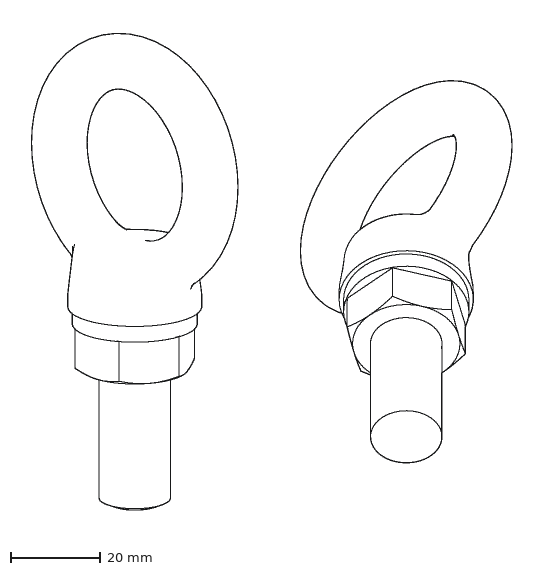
import cadquery as cq
import math


stud_diameter = 16.0
stud_projection = 32.5
stud_tip_height = 2.1

nut_across_flats = 24.0
nut_height = 10.4
nut_chamfer_angle = 30.0

collar_diameter = 28.0
collar_height = 4.0

flange_diameter = 30.0
flange_height = 3.0
boss_height = 12.6
boss_draft = 6.5
boss_edge_radius = 1.8
crown_drop = 1.5
ring_inner_diameter = 35.0
ring_outer_diameter = 60.0
ring_blend_radius = 5.0

collar_base = nut_height
eye_base = collar_base + collar_height
boss_base = eye_base + flange_height
boss_top = boss_base + boss_height

nut_corner_radius = nut_across_flats / math.sqrt(3)
wire_radius = (ring_outer_diameter - ring_inner_diameter) / 4
ring_mean_radius = (ring_outer_diameter + ring_inner_diameter) / 4
ring_center_height = boss_top + ring_inner_diameter / 2


def make_stud():
    """Round stud through the nut and collar, with a domed lower tip."""
    radius = stud_diameter / 2
    tip = -stud_projection
    shoulder = tip + stud_tip_height
    dome_radius = (radius**2 + stud_tip_height**2) / (2 * stud_tip_height)
    dome_half_angle = math.asin(radius / dome_radius) / 2
    dome_middle = (
        dome_radius * math.sin(dome_half_angle),
        tip + dome_radius * (1 - math.cos(dome_half_angle)),
    )
    return (
        cq.Workplane("XZ")
        .moveTo(0, tip)
        .threePointArc(dome_middle, (radius, shoulder))
        .lineTo(radius, eye_base)
        .lineTo(0, eye_base)
        .close()
        .revolve(360, (0, 0, 0), (0, 1, 0))
    )


def make_nut():
    """Hexagon whose lower corners are cut back by a cone, bored for the stud."""
    hexagon = cq.Workplane("XY").polygon(6, 2 * nut_corner_radius).extrude(nut_height)
    face_radius = nut_across_flats / 2
    cone_rise = (nut_corner_radius - face_radius) * math.tan(math.radians(nut_chamfer_angle))
    chamfer_envelope = (
        cq.Workplane("XZ")
        .moveTo(0, 0)
        .lineTo(face_radius, 0)
        .lineTo(nut_corner_radius, cone_rise)
        .lineTo(nut_corner_radius, nut_height)
        .lineTo(0, nut_height)
        .close()
        .revolve(360, (0, 0, 0), (0, 1, 0))
    )
    bore = cq.Workplane("XY").circle(stud_diameter / 2).extrude(nut_height)
    return hexagon.intersect(chamfer_envelope).cut(bore)


def make_collar():
    """Plain round collar between the nut and the eye."""
    return (
        cq.Workplane("XY", origin=(0, 0, collar_base))
        .circle(collar_diameter / 2)
        .circle(stud_diameter / 2)
        .extrude(collar_height)
    )


def make_eye():
    """Flanged, tapered boss with a low conical crown, blended into a lifting ring."""
    flange_radius = flange_diameter / 2
    boss_edge_height = boss_top - crown_drop
    boss_edge = flange_radius - (boss_edge_height - boss_base) * math.tan(math.radians(boss_draft))
    boss = (
        cq.Workplane("XZ")
        .moveTo(0, eye_base)
        .lineTo(flange_radius, eye_base)
        .lineTo(flange_radius, boss_base)
        .lineTo(boss_edge, boss_edge_height)
        .lineTo(0, boss_top)
        .close()
        .revolve(360, (0, 0, 0), (0, 1, 0))
    )
    rim_margin = crown_drop / 10
    rim = cq.selectors.BoxSelector(
        (-flange_radius, -flange_radius, boss_edge_height - rim_margin),
        (flange_radius, flange_radius, boss_edge_height + rim_margin),
    )
    boss = boss.edges(rim).fillet(boss_edge_radius)
    ring = cq.Workplane(
        cq.Solid.makeTorus(
            ring_mean_radius, wire_radius, cq.Vector(0, 0, ring_center_height), cq.Vector(0, 1, 0)
        )
    )
    eye_blank = boss.union(ring)
    within_wire = cq.selectors.BoxSelector(
        (-ring_mean_radius, -wire_radius, eye_base),
        (ring_mean_radius, wire_radius, ring_center_height),
    )
    junction = eye_blank.edges("%BSPLINE").edges(within_wire)
    return eye_blank.newObject(junction.vals()).fillet(ring_blend_radius)


stud = make_stud()
nut = make_nut()
collar = make_collar()
eye = make_eye()
result = cq.Compound.makeCompound([stud.val(), nut.val(), collar.val(), eye.val()])